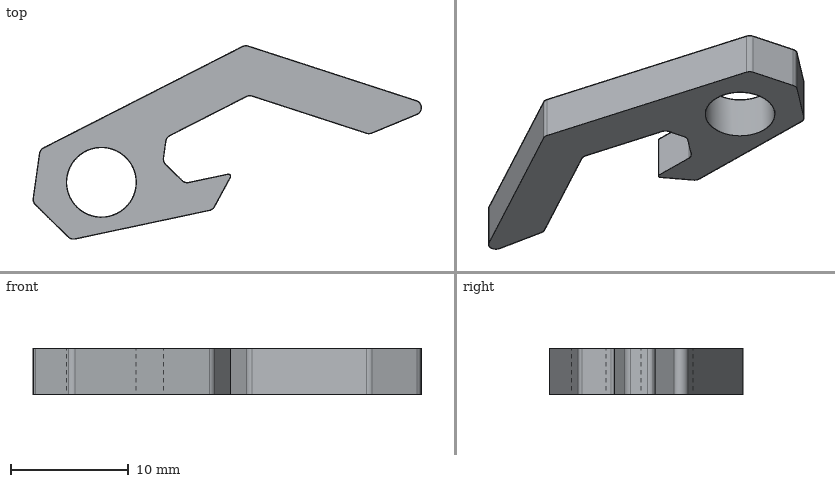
import cadquery as cq
import math

thickness = 3.92
bore_diameter = 5.9
corner_radius = 0.63
hook_tip_radius = 0.2

spine_angle = 27.0
forearm_angle = -18.0
arm_tip_angle = 22.5
hook_angle = 12.0
hook_end_angle = 61.5
hub_angle = 82.0
corner_cut_angle = -44.5

hub_to_spine = 4.84
hub_to_back = 5.55
hub_to_corner_cut = 5.29
hub_to_bottom = 4.25
hub_to_notch_back = 4.94
hub_to_notch_corner = 4.91

arm_width = 3.95
hook_width = 2.7

elbow_x = 12.21
arm_heel_x = 22.74
hook_heel_x = 9.46


def side(angle, offset):
    """Infinite line at the given angle, lying the offset to the left of the bore axis."""
    return math.radians(angle), offset


def side_through(angle, point):
    """Infinite line at the given angle through a point."""
    direction = math.radians(angle)
    offset = point[1] * math.cos(direction) - point[0] * math.sin(direction)
    return direction, offset


def point_on(line, x):
    """Point of a line at the given X."""
    direction, offset = line
    return x, (offset + x * math.sin(direction)) / math.cos(direction)


def crossing(first, second):
    """Point where two lines meet."""
    angle_a, offset_a = first
    angle_b, offset_b = second
    turn = math.sin(angle_b - angle_a)
    x = (offset_a * math.cos(angle_b) - offset_b * math.cos(angle_a)) / turn
    y = (offset_a * math.sin(angle_b) - offset_b * math.sin(angle_a)) / turn
    return x, y


def plate_sides():
    """Sides of the plate in order, clockwise from the back of the hub, and the hook tip corner."""
    back = side(hub_angle, hub_to_back)
    spine = side(spine_angle, hub_to_spine)
    forearm_top = side_through(forearm_angle, point_on(spine, elbow_x))
    forearm_bottom = (forearm_top[0], forearm_top[1] - arm_width)
    arm_tip = side_through(arm_tip_angle, point_on(forearm_bottom, arm_heel_x))
    arm_inside = side(spine_angle, hub_to_spine - arm_width)
    notch_back = side(hub_angle, -hub_to_notch_back)
    notch_corner = side(corner_cut_angle, hub_to_notch_corner)
    hook_top = side(hook_angle, hook_width - hub_to_bottom)
    hook_bottom = side(hook_angle, -hub_to_bottom)
    hook_end = side_through(hook_end_angle, point_on(hook_bottom, hook_heel_x))
    corner_cut = side(corner_cut_angle, -hub_to_corner_cut)
    return [
        back, spine, forearm_top, arm_tip, forearm_bottom, arm_inside,
        notch_back, notch_corner, hook_top, hook_end, hook_bottom, corner_cut,
    ], crossing(hook_top, hook_end)


def make_plate():
    """Plate with every upright edge rounded, the hook tip more sharply than the rest."""
    sides, hook_tip = plate_sides()
    following = sides[1:] + sides[:1]
    corners = [crossing(first, second) for first, second in zip(sides, following)]
    plate = cq.Workplane("XY").polyline(corners).close().extrude(thickness)

    tip_point = (hook_tip[0], hook_tip[1], thickness / 2)
    tip_edge = cq.selectors.NearestToPointSelector(tip_point)
    upright = cq.selectors.ParallelDirSelector(cq.Vector(0, 0, 1))
    plate = plate.edges(upright - tip_edge).fillet(corner_radius)
    return plate.edges(upright & tip_edge).fillet(hook_tip_radius)


def make_bore():
    """Through bore of the hub."""
    return cq.Workplane("XY").circle(bore_diameter / 2).extrude(thickness)


result = make_plate().cut(make_bore())